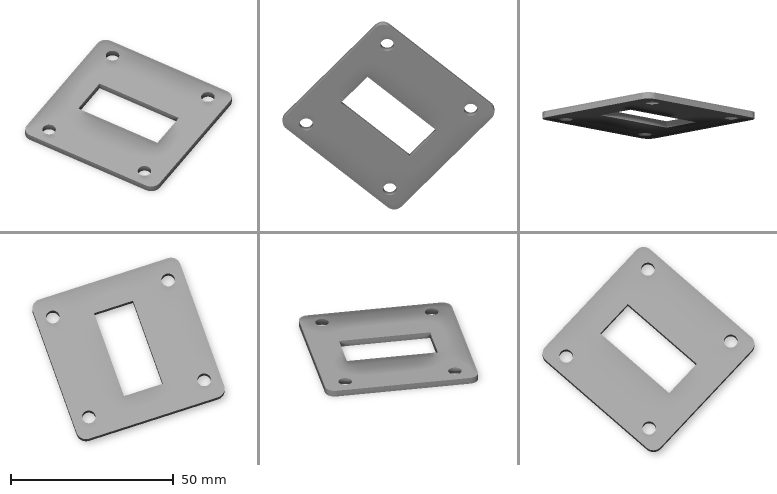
import cadquery as cq

plate_side = 47.8
plate_thickness = 2.0
corner_radius = 3.0

window_length = 28.5
window_width = 12.6

hole_diameter = 4.15
hole_spacing_x = 34.3
hole_spacing_y = 37.45

plate = (
    cq.Workplane("XY")
    .box(plate_side, plate_side, plate_thickness)
    .edges("|Z")
    .fillet(corner_radius)
)

plate = plate.faces(">Z").workplane().rect(window_length, window_width).cutThruAll()

result = (
    plate.faces(">Z")
    .workplane()
    .rect(hole_spacing_x, hole_spacing_y, forConstruction=True)
    .vertices()
    .hole(hole_diameter)
)